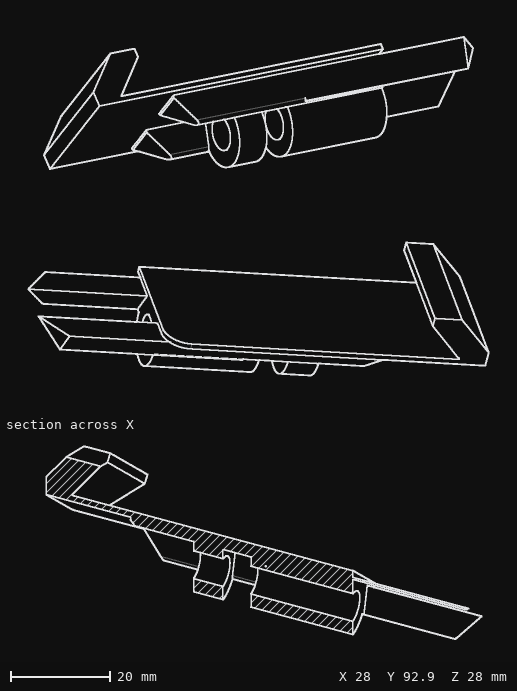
import cadquery as cq
import math

tilt = 45
total_length = 92.9

plate_width = 26.6
plate_length = 67.65
plate_thickness = 1.2
plate_bottom = 5.5
plate_top = plate_bottom + plate_thickness
corner_radius = 5.0
lip_top = 16.4
lip_end = 13.2
lip_nose = 7.4
lip_front_height = 8.7
lip_crest = 1.95
lip_foot = 5.8

knuckle_diameter = 13.9
bore_diameter = 7.0
knuckle_spans = [(32.5, 39.0), (45.2, plate_length)]

prong_outer = 11.2
prong_side = 6.5
prong_tip = 5.1
prong_root = 18.6
flank_angle = 30
rib_side = 7.9
rib_start = 18.6
rib_step = 0.5
rib_edge_radius = 1.2

equilateral = math.sqrt(3) / 2


def y_prism(points, start, end):
    """Extrude an X-Z outline from start to end along Y."""
    plane = cq.Workplane("XZ", origin=(0, start, 0))
    return plane.polyline(points).close().extrude(start - end)


def make_plate():
    plate = cq.Workplane("XY").box(
        plate_width, plate_length, plate_thickness, centered=(True, False, False)
    )
    plate = plate.edges("|Z and <X and >Y").fillet(corner_radius)
    return plate.translate((0, 0, plate_bottom))


def make_lip():
    """Lip leaning up and back at about 45 degrees from the front edge."""
    outline = [
        (0, plate_bottom),
        (0, lip_front_height),
        (lip_nose, lip_top),
        (lip_end, lip_top),
        (lip_end, lip_top - lip_crest),
        (lip_foot, plate_top),
        (lip_foot, plate_bottom),
    ]
    return cq.Workplane("YZ").polyline(outline).close().extrude(plate_width / 2, both=True)


def make_knuckle(start, end):
    """Round knuckle, trimmed flush with the upper face of the plate."""
    plane = cq.Workplane("XZ", origin=(0, start, 0))
    knuckle = plane.circle(knuckle_diameter / 2).extrude(start - end)
    above_plate = cq.Workplane("XY").box(
        knuckle_diameter, total_length, knuckle_diameter, centered=(True, False, False)
    )
    return knuckle.cut(above_plate.translate((0, 0, plate_top)))


def triangle(side):
    """Equilateral outline hanging from the plate, flush at the outer edge."""
    return [
        (prong_outer - side, plate_bottom),
        (prong_outer, plate_bottom),
        (prong_outer - side / 2, plate_bottom - side * equilateral),
    ]


def make_prong():
    """Prong with one oblique cut that leaves its inner upper corner longest."""
    prong = y_prism(triangle(prong_side), plate_length - prong_root, total_length)
    fall = prong_side * equilateral
    wedge = [(0, total_length), (2 * fall, total_length), (2 * fall, total_length - 2 * prong_tip)]
    inner_corner = (prong_outer - prong_side, 0, plate_bottom)
    cutter = cq.Workplane("XY").polyline(wedge).close().extrude(2 * prong_side, both=True)
    cutter = cutter.rotate((0, 0, 0), (0, 1, 0), flank_angle).translate(inner_corner)
    return prong.cut(cutter)


def make_rib():
    """Rounded rib under the plate with a 45 degree run-in at its front."""
    rib = y_prism(triangle(rib_side), rib_start, plate_length)
    rib = rib.edges("|Y and <Z").fillet(rib_edge_radius)
    step_level = plate_bottom - rib_step
    run_in = [
        (rib_start, step_level),
        (rib_start, step_level - rib_side),
        (rib_start + rib_side, step_level - rib_side),
    ]
    cutter = cq.Workplane("YZ").polyline(run_in).close().extrude(plate_width)
    return rib.cut(cutter)


flat = make_plate().union(make_lip())
for start, end in knuckle_spans:
    flat = flat.union(make_knuckle(start, end))

arm = make_rib().union(make_prong())
flat = flat.union(arm).union(arm.mirror("YZ"))

bore = cq.Workplane("XZ").circle(bore_diameter / 2).extrude(-total_length)
flat = flat.cut(bore)

result = flat.rotate((0, 0, 0), (0, 1, 0), -tilt)